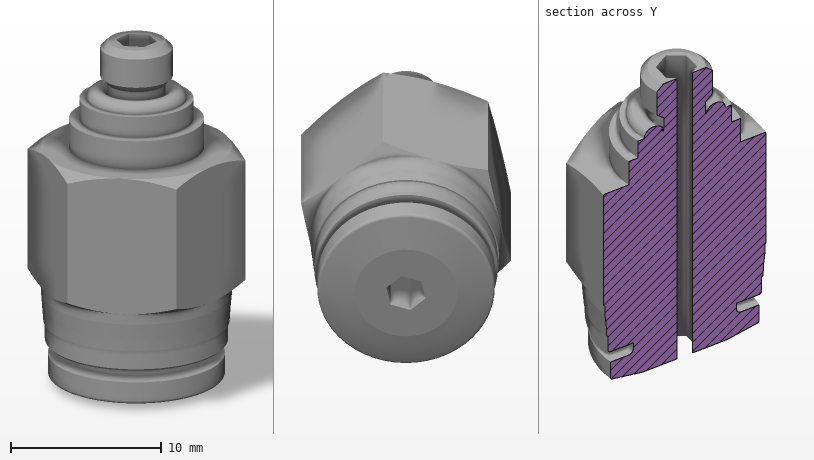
import cadquery as cq
import math

total_height = 24.0

hex_across_flats = 12.7
hex_bottom_z = 6.92
hex_top_z = 16.5
hex_chamfer_angle = 30.0

collar_diameter = 11.8
collar_top_z = 1.95
collar_tip_diameter = 6.85
collar_tip_angle = 10.0
collar_edge_radius = 0.23
collar_neck_diameter = 8.35
collar_neck_fillet = 0.33

sleeve_diameter = 12.2
sleeve_bottom_z = 2.8
sleeve_chamfer = 0.15
taper_bottom_z = 4.25
taper_bottom_diameter = 12.4
taper_top_z = 6.2

lower_shoulder_diameter = 9.0
lower_shoulder_top_z = 18.5
upper_shoulder_diameter = 7.6
upper_shoulder_top_z = 19.95

ring_section_radius = 0.7
ring_top_z = 20.66

thread_diameter = 4.83
thread_neck_diameter = 3.88
thread_bottom_z = 21.53

socket_across_flats = 2.38

hex_half_angle = 30.0


def across_corners(across_flats):
    return across_flats / math.cos(math.radians(hex_half_angle))


def hex_prism(across_flats, bottom_z, top_z):
    """Upright hexagonal prism with corners on the Y axis."""
    return (
        cq.Workplane("XY", origin=(0, 0, bottom_z))
        .polygon(6, across_corners(across_flats))
        .extrude(top_z - bottom_z)
        .rotate((0, 0, 0), (0, 0, 1), hex_half_angle)
    )


def cylinder(diameter, bottom_z, top_z):
    return cq.Workplane("XY", origin=(0, 0, bottom_z)).circle(diameter / 2).extrude(top_z - bottom_z)


def revolved(points):
    """Solid of revolution about Z from (radius, z) points."""
    return cq.Workplane("XZ").polyline(points).close().revolve(360, (0, 0, 0), (0, 1, 0))


def hexagon_body():
    """Hexagon whose corners are trimmed by a cone at both ends."""
    flat_radius = hex_across_flats / 2
    outer_radius = across_corners(hex_across_flats)
    cone_height = (outer_radius - flat_radius) * math.tan(math.radians(hex_chamfer_angle))
    trimming_body = revolved([
        (0, hex_bottom_z),
        (flat_radius, hex_bottom_z),
        (outer_radius, hex_bottom_z + cone_height),
        (outer_radius, hex_top_z - cone_height),
        (flat_radius, hex_top_z),
        (0, hex_top_z),
    ])
    return hex_prism(hex_across_flats, hex_bottom_z, hex_top_z).intersect(trimming_body)


def sleeve():
    """Round sleeve: short cylinder, slight taper, small step and chamfered lower cylinder."""
    lower = cylinder(sleeve_diameter, sleeve_bottom_z, taper_bottom_z).faces("<Z").chamfer(sleeve_chamfer)
    taper = revolved([
        (0, taper_bottom_z),
        (taper_bottom_diameter / 2, taper_bottom_z),
        (hex_across_flats / 2, taper_top_z),
        (0, taper_top_z),
    ])
    upper = cylinder(hex_across_flats, taper_top_z, hex_bottom_z)
    return lower.union(taper).union(upper)


def release_collar():
    """Flange with a shallow conical underside, and the neck that joins it to the sleeve."""
    radius = collar_diameter / 2
    tip_radius = collar_tip_diameter / 2
    neck_radius = collar_neck_diameter / 2
    slope = math.radians(collar_tip_angle)
    corner_z = (radius - tip_radius) * math.tan(slope)

    rim_sweep = math.pi / 2 - slope
    rim_tangent = collar_edge_radius * math.tan(rim_sweep / 2)
    rim_centre_r = radius - collar_edge_radius
    rim_centre_z = corner_z + rim_tangent
    rim_start = (radius - rim_tangent * math.cos(slope), corner_z - rim_tangent * math.sin(slope))
    rim_middle = (
        rim_centre_r + collar_edge_radius * math.cos(rim_sweep / 2),
        rim_centre_z - collar_edge_radius * math.sin(rim_sweep / 2),
    )
    flange = (
        cq.Workplane("XZ")
        .lineTo(tip_radius, 0)
        .lineTo(*rim_start)
        .threePointArc(rim_middle, (radius, rim_centre_z))
        .lineTo(radius, collar_top_z)
        .lineTo(0, collar_top_z)
        .close()
        .revolve(360, (0, 0, 0), (0, 1, 0))
    )

    fillet_top_z = collar_top_z + collar_neck_fillet
    arc_offset = collar_neck_fillet * (1 - math.sqrt(0.5))
    neck = (
        cq.Workplane("XZ")
        .moveTo(0, collar_top_z)
        .lineTo(neck_radius + collar_neck_fillet, collar_top_z)
        .threePointArc((neck_radius + arc_offset, collar_top_z + arc_offset), (neck_radius, fillet_top_z))
        .lineTo(neck_radius, sleeve_bottom_z)
        .lineTo(0, sleeve_bottom_z)
        .close()
        .revolve(360, (0, 0, 0), (0, 1, 0))
    )
    return flange.union(neck)


def shoulders():
    lower = cylinder(lower_shoulder_diameter, hex_top_z, lower_shoulder_top_z)
    upper = cylinder(upper_shoulder_diameter, lower_shoulder_top_z, upper_shoulder_top_z)
    return lower.union(upper)


def sealing_ring():
    """Round-section ring that touches the neck and is partly sunk in the upper shoulder."""
    centre_radius = thread_neck_diameter / 2 + ring_section_radius
    centre_z = ring_top_z - ring_section_radius
    return (
        cq.Workplane("XZ")
        .center(centre_radius, centre_z)
        .circle(ring_section_radius)
        .revolve(360, (-centre_radius, 0, 0), (-centre_radius, 1, 0))
    )


def threaded_tip():
    chamfer = (thread_diameter - thread_neck_diameter) / 2
    neck = cylinder(thread_neck_diameter, upper_shoulder_top_z, thread_bottom_z)
    thread = cylinder(thread_diameter, thread_bottom_z - chamfer, total_height).edges().chamfer(chamfer)
    return neck.union(thread)


body = hexagon_body().union(sleeve()).union(release_collar()).union(shoulders())
body = body.union(threaded_tip()).union(sealing_ring())
result = body.cut(hex_prism(socket_across_flats, 0, total_height))